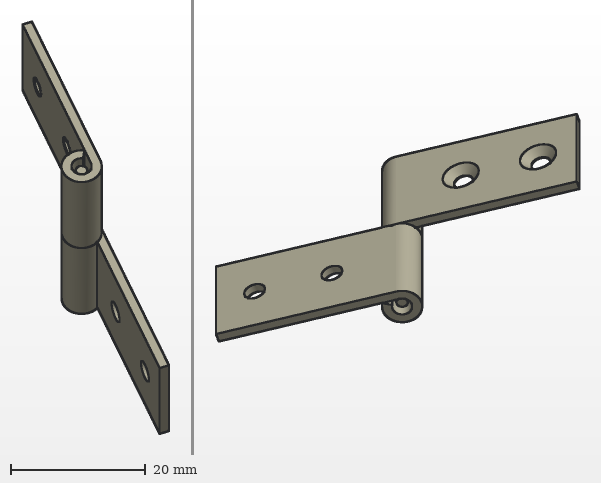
import cadquery as cq
import math

leaf_height = 16.0
leaf_reach = 28.0
leaf_thickness = 1.5
hinge_height = 2 * leaf_height

knuckle_radius = 3.0
bore_radius = knuckle_radius - leaf_thickness
curl_end_angle = 151.0

hole_distances = (10.0, 22.0)
upper_hole_diameter = 2.9
lower_hole_diameter = 3.2
countersink_diameter = 5.6
countersink_angle = 90.0

pin_recess = 1.0
pin_length = hinge_height - 2 * pin_recess
pin_taper_length = 3.5
pin_taper_inset = 0.65


def on_circle(radius, angle):
    """Point at an angle in degrees on a circle around the hinge axis."""
    return (radius * math.cos(math.radians(angle)), radius * math.sin(math.radians(angle)))


def make_leaf():
    """Leaf reaching toward -X, standing on z = 0, its end rolled clockwise around the axis."""
    middle_angle = (90.0 + curl_end_angle - 360.0) / 2
    return (
        cq.Workplane("XY")
        .moveTo(-leaf_reach, bore_radius)
        .lineTo(-leaf_reach, knuckle_radius)
        .lineTo(0, knuckle_radius)
        .threePointArc(on_circle(knuckle_radius, middle_angle), on_circle(knuckle_radius, curl_end_angle))
        .lineTo(*on_circle(bore_radius, curl_end_angle))
        .threePointArc(on_circle(bore_radius, middle_angle), (0, bore_radius))
        .close()
        .extrude(leaf_height)
    )


def back_hole_centers(leaf):
    """Workplane on the back face of a leaf with the screw hole centers on its stack."""
    back_face = cq.Workplane("ZX", origin=(0, knuckle_radius, leaf_height / 2))
    return (
        leaf.copyWorkplane(back_face)
        .pushPoints([(0, -distance) for distance in hole_distances])
    )


def make_pin():
    """Round pin filling the bores of both knuckles, tapered at both ends."""
    return (
        cq.Workplane("XY", origin=(0, 0, pin_recess))
        .circle(bore_radius)
        .extrude(pin_length)
        .faces("<Z or >Z")
        .chamfer(pin_taper_length, pin_taper_inset)
    )


upper_leaf = (
    back_hole_centers(make_leaf())
    .cskHole(upper_hole_diameter, countersink_diameter, countersink_angle, leaf_thickness)
    .translate((0, 0, leaf_height))
)

lower_leaf = (
    back_hole_centers(make_leaf())
    .hole(lower_hole_diameter, leaf_thickness)
    .rotate((0, 0, 0), (0, 1, 0), 180)
    .translate((0, 0, leaf_height))
)

pin = make_pin()

result = cq.Compound.makeCompound([upper_leaf.val(), lower_leaf.val(), pin.val()])